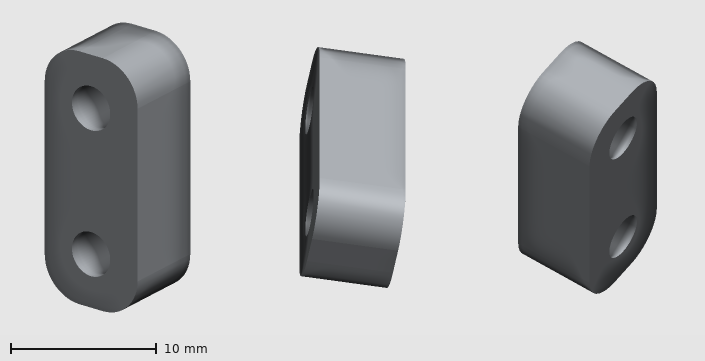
import cadquery as cq

width = 8.0
thickness = 6.0
hole_spacing = 10.9
hole_diameter = 3.3
corner_radius = 3.0

end_margin = width / 2
height = hole_spacing + 2 * end_margin


def make_body():
    """Upright block, centred on the origin, with its four Y-direction edges rounded."""
    block = cq.Workplane("XY").box(width, thickness, height)
    return block.edges("|Y").fillet(corner_radius)


def drill_holes(body):
    """Two through holes along Y, placed symmetrically about mid-height."""
    hole_centres = [(0, -hole_spacing / 2), (0, hole_spacing / 2)]
    front_plane = body.faces("<Y").workplane(centerOption="CenterOfBoundBox")
    return front_plane.pushPoints(hole_centres).hole(hole_diameter)


result = drill_holes(make_body())